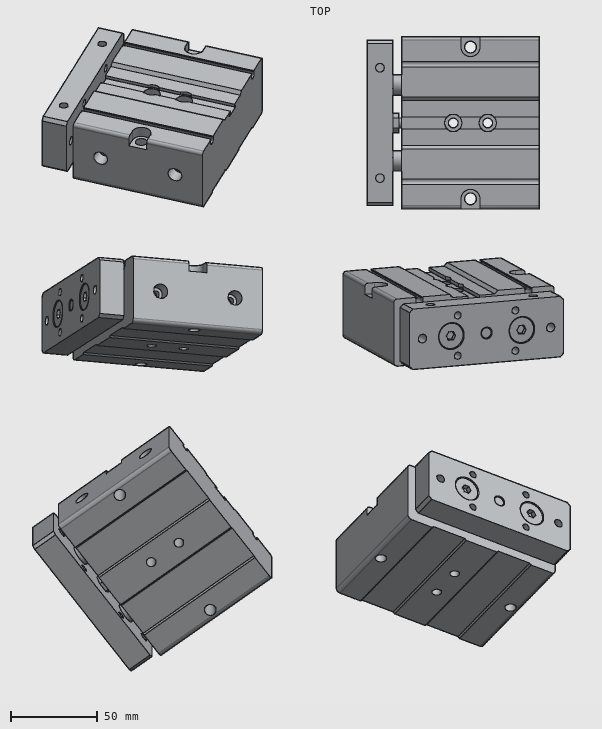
import cadquery as cq
import math

TOTAL_LENGTH = 100.0

HOUSING_LENGTH = 80.0
HOUSING_WIDTH = 100.0
HOUSING_HEIGHT = 40.0
HOUSING_FRONT = TOTAL_LENGTH - HOUSING_LENGTH
HOUSING_CENTER_X = HOUSING_FRONT + HOUSING_LENGTH / 2
TOP = HOUSING_HEIGHT / 2
BOTTOM = -TOP
SIDE = HOUSING_WIDTH / 2
TOP_EDGE_RADIUS = 2.0
BOTTOM_EDGE_RADIUS = 2.5

GUIDE_SPACING = 44.0
GUIDE_Y = GUIDE_SPACING / 2
GUIDE_DIAMETER = 12.0
PISTON_ROD_DIAMETER = 6.0
NUT_ACROSS_FLATS = 10.0
NUT_THICKNESS = 3.5

CHANNEL_WIDTH = 30.0
CHANNEL_DEPTH = 2.0
CHANNEL_FLOOR = TOP - CHANNEL_DEPTH
GROOVE_NECK_WIDTH = 7.2
GROOVE_WIDE_WIDTH = 10.0
GROOVE_LIP = 2.0
GROOVE_DEPTH = 3.0

SENSOR_SLOT_Y = 34.0
SENSOR_NECK_WIDTH = 3.2
SENSOR_LIP = 0.8
SENSOR_WIDE_WIDTH = 4.4
SENSOR_DEPTH = 4.4

RELIEF_WIDTH = 23.2
RELIEF_DEPTH = 1.0

MOUNT_Y = 44.0
MOUNT_DIAMETER = 6.7
MOUNT_SEAT_WIDTH = 11.0
MOUNT_SEAT_DEPTH = 6.5

CENTER_HOLE_SPACING = 20.0
CENTER_HOLE_DIAMETER = 5.5
CENTER_BORE_DIAMETER = 10.0
CENTER_BORE_DEPTH = 9.0

PORT_SPACING = 46.0
PORT_MOUTH_DIAMETER = 8.5
PORT_END_DIAMETER = 7.8
PORT_DEPTH = 8.0
PORT_PASSAGE_DIAMETER = 4.0
PORT_PASSAGE_DEPTH = 12.0

PLATE_THICKNESS = 15.0
PLATE_MARGIN = 2.0
PLATE_WIDTH = HOUSING_WIDTH - 2 * PLATE_MARGIN
PLATE_HEIGHT = HOUSING_HEIGHT - 2 * PLATE_MARGIN
PLATE_CHAMFER = 2.0
ROD_GAP = HOUSING_FRONT - PLATE_THICKNESS
SMALL_HOLE_DIAMETER = 4.2
SMALL_HOLE_SPACING_Y = 36.0
SMALL_HOLE_SPACING_Z = 24.0
LARGE_HOLE_DIAMETER = 5.1
LARGE_HOLE_SPACING = 80.0
TOP_HOLE_DIAMETER = 5.0
TOP_HOLE_SPACING = 64.0
TOP_HOLE_DEPTH = 12.0
BOLT_RECESS_DIAMETER = 16.0
ROD_RECESS_DIAMETER = 7.0
RECESS_DEPTH = 0.5
SOCKET_ACROSS_FLATS = 5.0
SOCKET_DEPTH = 3.0


def housing_bar(points):
    """Prism over the full housing length from a closed (y, z) outline."""
    return (
        cq.Workplane("YZ", origin=(HOUSING_FRONT, 0, 0))
        .polyline(points)
        .close()
        .extrude(HOUSING_LENGTH)
    )


def sloped_groove(center_y, mouth_width, mouth_z, floor_z):
    """Groove cutter with 45 degree flanks, narrowing from its mouth to its floor."""
    half_mouth = mouth_width / 2
    half_floor = half_mouth - abs(mouth_z - floor_z)
    return housing_bar([
        (center_y - half_mouth, mouth_z),
        (center_y - half_floor, floor_z),
        (center_y + half_floor, floor_z),
        (center_y + half_mouth, mouth_z),
    ])


def undercut_groove():
    """Cutter for the T-shaped groove in the channel floor."""
    neck = GROOVE_NECK_WIDTH / 2
    wide = GROOVE_WIDE_WIDTH / 2
    lip_z = CHANNEL_FLOOR - GROOVE_LIP
    floor_z = CHANNEL_FLOOR - GROOVE_DEPTH
    return housing_bar([
        (-neck, CHANNEL_FLOOR), (-neck, lip_z), (-wide, lip_z), (-wide, floor_z),
        (wide, floor_z), (wide, lip_z), (neck, lip_z), (neck, CHANNEL_FLOOR),
    ])


def sensor_slot(center_y):
    """Cutter for a narrow-necked slot with a half-round bottom."""
    neck = SENSOR_NECK_WIDTH / 2
    radius = SENSOR_WIDE_WIDTH / 2
    lip_z = TOP - SENSOR_LIP
    floor_z = TOP - SENSOR_DEPTH
    round_z = floor_z + radius
    return (
        cq.Workplane("YZ", origin=(HOUSING_FRONT, center_y, 0))
        .moveTo(-neck, TOP)
        .lineTo(-neck, lip_z)
        .lineTo(-radius, lip_z)
        .lineTo(-radius, round_z)
        .threePointArc((0, floor_z), (radius, round_z))
        .lineTo(radius, lip_z)
        .lineTo(neck, lip_z)
        .lineTo(neck, TOP)
        .close()
        .extrude(HOUSING_LENGTH)
    )


def mounting_hole(side):
    """Cutter for a through hole and its seat, open to the +Y (side 1) or -Y (side -1) face."""
    seat_z = TOP - MOUNT_SEAT_DEPTH
    center = (HOUSING_CENTER_X, side * MOUNT_Y)
    edge_distance = SIDE - MOUNT_Y
    seat = cq.Workplane("XY", origin=(0, 0, seat_z))
    round_end = seat.center(*center).circle(MOUNT_SEAT_WIDTH / 2).extrude(MOUNT_SEAT_DEPTH)
    opening = (
        seat.center(center[0], side * (MOUNT_Y + edge_distance / 2))
        .rect(MOUNT_SEAT_WIDTH, edge_distance)
        .extrude(MOUNT_SEAT_DEPTH)
    )
    hole = (
        cq.Workplane("XY", origin=(0, 0, BOTTOM))
        .center(*center)
        .circle(MOUNT_DIAMETER / 2)
        .extrude(HOUSING_HEIGHT)
    )
    return hole.union(round_end).union(opening)


def center_hole(x):
    """Cutter for a counterbored through hole on the middle line."""
    hole = (
        cq.Workplane("XY", origin=(x, 0, BOTTOM))
        .circle(CENTER_HOLE_DIAMETER / 2)
        .extrude(HOUSING_HEIGHT)
    )
    bore = (
        cq.Workplane("XY", origin=(x, 0, CHANNEL_FLOOR - CENTER_BORE_DEPTH))
        .circle(CENTER_BORE_DIAMETER / 2)
        .extrude(CENTER_BORE_DEPTH)
    )
    return hole.union(bore)


def air_port(x):
    """Cutter for a tapered port with a narrow passage behind it."""
    return (
        cq.Workplane("XY", origin=(x, -SIDE, 0))
        .polyline([
            (0, 0),
            (PORT_MOUTH_DIAMETER / 2, 0),
            (PORT_END_DIAMETER / 2, PORT_DEPTH),
            (PORT_PASSAGE_DIAMETER / 2, PORT_DEPTH),
            (PORT_PASSAGE_DIAMETER / 2, PORT_PASSAGE_DEPTH),
            (0, PORT_PASSAGE_DEPTH),
        ])
        .close()
        .revolve(360, (0, 0), (0, 1))
    )


def make_housing():
    housing = (
        cq.Workplane("XY", origin=(HOUSING_CENTER_X, 0, 0))
        .box(HOUSING_LENGTH, HOUSING_WIDTH, HOUSING_HEIGHT)
    )
    housing = housing.faces(">Z").edges("|X").fillet(TOP_EDGE_RADIUS)
    housing = housing.faces("<Z").edges("|X").fillet(BOTTOM_EDGE_RADIUS)

    housing = housing.cut(sloped_groove(0, CHANNEL_WIDTH, TOP, CHANNEL_FLOOR))
    housing = housing.cut(undercut_groove())
    for side in (-1, 1):
        housing = housing.cut(sensor_slot(side * SENSOR_SLOT_Y))
        housing = housing.cut(sloped_groove(side * GUIDE_Y, RELIEF_WIDTH, BOTTOM, BOTTOM + RELIEF_DEPTH))
        housing = housing.cut(mounting_hole(side))
        housing = housing.cut(center_hole(HOUSING_CENTER_X + side * CENTER_HOLE_SPACING / 2))
        housing = housing.cut(air_port(HOUSING_CENTER_X + side * PORT_SPACING / 2))
    return housing


def plate_face(y=0.0, x=0.0):
    """Work plane facing +X, centred at y, at depth x behind the front of the tool plate."""
    return cq.Workplane("YZ", origin=(x, y, 0))


def corner_diameter(across_flats):
    """Corner-to-corner size of a hexagon with the given size across flats."""
    return across_flats / math.cos(math.radians(30))


def conical_recess(y, diameter):
    """Cutter for a shallow round recess with a 45 degree wall."""
    return plate_face(y).circle(diameter / 2).extrude(RECESS_DEPTH, taper=45)


def make_tool_plate():
    """Tool plate with its guide rods, piston rod, lock nut and bolt ends."""
    plate = plate_face().rect(PLATE_WIDTH, PLATE_HEIGHT).extrude(PLATE_THICKNESS)
    plate = plate.edges("|X").chamfer(PLATE_CHAMFER)

    small_holes = (
        plate_face()
        .rect(SMALL_HOLE_SPACING_Y, SMALL_HOLE_SPACING_Z, forConstruction=True)
        .vertices()
        .circle(SMALL_HOLE_DIAMETER / 2)
        .extrude(PLATE_THICKNESS)
    )
    plate = plate.cut(small_holes).cut(conical_recess(0, ROD_RECESS_DIAMETER))
    piston_rod = plate_face(x=PLATE_THICKNESS).circle(PISTON_ROD_DIAMETER / 2).extrude(ROD_GAP)
    lock_nut = (
        plate_face(x=PLATE_THICKNESS)
        .polygon(6, corner_diameter(NUT_ACROSS_FLATS))
        .extrude(NUT_THICKNESS)
    )
    plate = plate.union(piston_rod).union(lock_nut)

    for side in (-1, 1):
        large_hole = (
            plate_face(side * LARGE_HOLE_SPACING / 2)
            .circle(LARGE_HOLE_DIAMETER / 2)
            .extrude(PLATE_THICKNESS)
        )
        top_hole = (
            cq.Workplane("XY", origin=(PLATE_THICKNESS / 2, side * TOP_HOLE_SPACING / 2, PLATE_HEIGHT / 2))
            .circle(TOP_HOLE_DIAMETER / 2)
            .extrude(-TOP_HOLE_DEPTH)
        )
        socket = (
            plate_face(side * GUIDE_Y, x=RECESS_DEPTH)
            .polygon(6, corner_diameter(SOCKET_ACROSS_FLATS))
            .extrude(SOCKET_DEPTH)
        )
        guide_rod = (
            plate_face(side * GUIDE_Y, x=PLATE_THICKNESS)
            .circle(GUIDE_DIAMETER / 2)
            .extrude(ROD_GAP)
        )
        plate = plate.cut(large_hole).cut(top_hole)
        plate = plate.cut(conical_recess(side * GUIDE_Y, BOLT_RECESS_DIAMETER)).cut(socket)
        plate = plate.union(guide_rod)
    return plate


housing = make_housing()
tool_plate = make_tool_plate()
result = cq.Compound.makeCompound([housing.val(), tool_plate.val()])